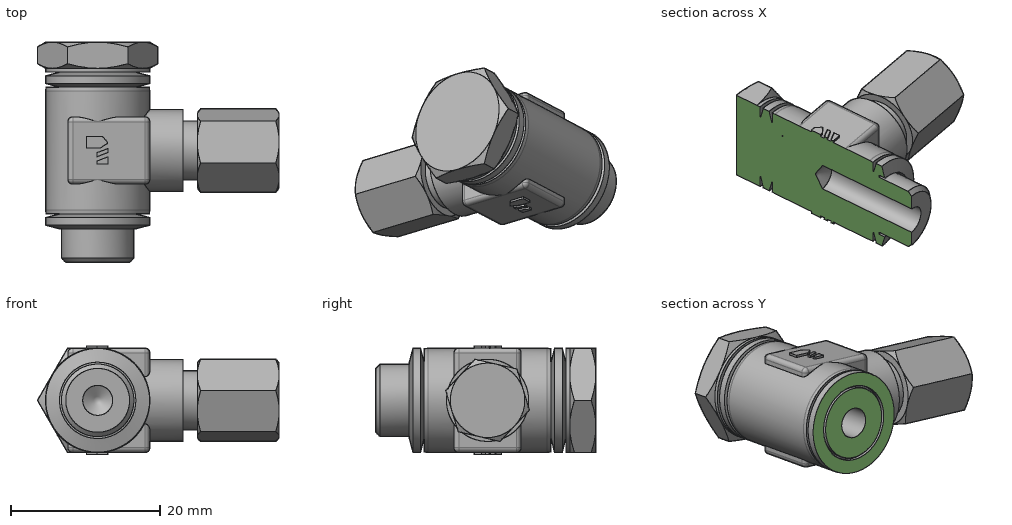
import cadquery as cq
import math


BODY_RADIUS = 7.0
BODY_HALF_LENGTH = 8.5
BODY_END_TAPER_LENGTH = 0.52
BODY_END_TAPER_DEPTH = 0.05

BLOCK_LEFT = -4.0
BLOCK_WIDTH_Y = 9.0
BLOCK_FILLET = 0.65

MARK_HEIGHT = 0.3
MARK_OUTLINES = [
    [(-1.52, 1.88), (0.65, 1.88), (1.33, 1.1), (1.33, 0.97), (0.4, 0.35), (-1.52, 0.35)],
    [(-0.1, -0.3), (1.35, 0.25), (1.35, -0.25), (-0.1, -0.85)],
    [(-0.1, -1.43), (1.35, -0.85), (1.35, -1.8), (-0.1, -1.8)],
]

WASHER_THICKNESS = 2.0
WASHER_BAND = 1.05
WASHER_BORE_RADIUS = 5.12
WASHER_TAPER = (WASHER_THICKNESS - WASHER_BAND) / 2
WASHER_FACE_GAP = WASHER_THICKNESS / 2
WASHER_OUTER_FACE = BODY_HALF_LENGTH + WASHER_THICKNESS

COLLAR_LENGTH = 0.52
HEAD_THICKNESS = 3.5
HEAD_ACROSS_FLATS = 2 * BODY_RADIUS
STUD_RADIUS = 4.85
STUD_LENGTH = 4.5
STUD_CHAMFER = 0.58
HEAD_START = WASHER_OUTER_FACE + COLLAR_LENGTH
STUD_END = -WASHER_OUTER_FACE - STUD_LENGTH

HOLE_RADIUS = 2.0
DRILL_POINT_ANGLE = 118
DRILL_POINT_LENGTH = HOLE_RADIUS / math.tan(math.radians(DRILL_POINT_ANGLE / 2))

OVERALL_X = 32.43
BRANCH_RADIUS = 5.5
BRANCH_END = 11.45
NECK_RADIUS = 4.0
NUT_START = 13.35
NUT_ACROSS_FLATS = 10.0
NUT_TURN = 16.9
HEX_CHAMFER_ANGLE = 30


def corner_radius(across_flats):
    return across_flats / 2 / math.cos(math.radians(30))


NUT_END = OVERALL_X - corner_radius(HEAD_ACROSS_FLATS)


def revolve_about_y(profile):
    """Revolve a closed (radius, y) profile around the Y axis."""
    return cq.Workplane("XY").polyline(profile).close().revolve(360, (0, 0, 0), (0, 1, 0))


def cylinder_along_y(radius, start, end):
    return revolve_about_y([(0, start), (radius, start), (radius, end), (0, end)])


def chamfered_hexagon(across_flats, length):
    """Hexagonal prism standing on z = 0, with a corner on X and both ends turned conical."""
    flat_radius = across_flats / 2
    corner = corner_radius(across_flats)
    drop = (corner - flat_radius) * math.tan(math.radians(HEX_CHAMFER_ANGLE))
    prism = cq.Workplane("XY").polygon(6, 2 * corner).extrude(length)
    envelope_profile = [
        (0, 0),
        (flat_radius, 0),
        (corner, drop),
        (corner, length - drop),
        (flat_radius, length),
        (0, length),
    ]
    envelope = cq.Workplane("XZ").polyline(envelope_profile).close().revolve(360, (0, 0, 0), (0, 1, 0))
    return prism.intersect(envelope)


def banjo_body():
    end_radius = BODY_RADIUS - BODY_END_TAPER_DEPTH
    taper_start = BODY_HALF_LENGTH - BODY_END_TAPER_LENGTH
    return revolve_about_y([
        (0, -BODY_HALF_LENGTH),
        (end_radius, -BODY_HALF_LENGTH),
        (BODY_RADIUS, -taper_start),
        (BODY_RADIUS, taper_start),
        (end_radius, BODY_HALF_LENGTH),
        (0, BODY_HALF_LENGTH),
    ])


def flat_sided_block():
    block_width_x = BODY_RADIUS - BLOCK_LEFT
    return (
        cq.Workplane("XY")
        .box(block_width_x, BLOCK_WIDTH_Y, 2 * BODY_RADIUS)
        .edges()
        .fillet(BLOCK_FILLET)
        .translate((BLOCK_LEFT + block_width_x / 2, 0, 0))
    )


def raised_mark(outline):
    """One mark, as a prism running through the body so it stands proud of both flats."""
    half_height = BODY_RADIUS + MARK_HEIGHT
    return cq.Workplane("XY").polyline(outline).close().extrude(half_height, both=True)


def washer(start):
    """Washer with both faces coned from the bore out to the rim."""
    end = start + WASHER_THICKNESS
    return revolve_about_y([
        (WASHER_BORE_RADIUS, start),
        (BODY_RADIUS, start + WASHER_TAPER),
        (BODY_RADIUS, end - WASHER_TAPER),
        (WASHER_BORE_RADIUS, end),
    ])


def bolt_head():
    hexagon = chamfered_hexagon(HEAD_ACROSS_FLATS, HEAD_THICKNESS)
    return hexagon.rotate((0, 0, 0), (1, 0, 0), -90).translate((0, HEAD_START, 0))


def stud():
    return revolve_about_y([
        (0, 0),
        (STUD_RADIUS, 0),
        (STUD_RADIUS, STUD_END + STUD_CHAMFER),
        (STUD_RADIUS - STUD_CHAMFER, STUD_END),
        (0, STUD_END),
    ])


def stud_hole():
    return revolve_about_y([
        (0, STUD_END),
        (HOLE_RADIUS, STUD_END),
        (HOLE_RADIUS, 0),
        (0, DRILL_POINT_LENGTH),
    ])


def branch():
    collar = cq.Workplane("YZ").circle(BRANCH_RADIUS).extrude(BRANCH_END)
    neck = cq.Workplane("YZ").circle(NECK_RADIUS).extrude(NUT_START)
    return collar.union(neck)


def tube_nut():
    hexagon = chamfered_hexagon(NUT_ACROSS_FLATS, NUT_END - NUT_START)
    upright = hexagon.rotate((0, 0, 0), (0, 1, 0), 90)
    return upright.rotate((0, 0, 0), (1, 0, 0), NUT_TURN).translate((NUT_START, 0, 0))


result = banjo_body().union(flat_sided_block())
for mark_outline in MARK_OUTLINES:
    result = result.union(raised_mark(mark_outline))

for washer_start in (-WASHER_OUTER_FACE, BODY_HALF_LENGTH):
    result = result.union(washer(washer_start))

bolt_core = cylinder_along_y(WASHER_BORE_RADIUS, WASHER_FACE_GAP - WASHER_OUTER_FACE, WASHER_OUTER_FACE)
bolt_collar = cylinder_along_y(BODY_RADIUS, WASHER_OUTER_FACE, HEAD_START)
result = result.union(bolt_core).union(bolt_collar).union(bolt_head()).union(stud())

result = result.union(branch()).union(tube_nut()).cut(stud_hole())